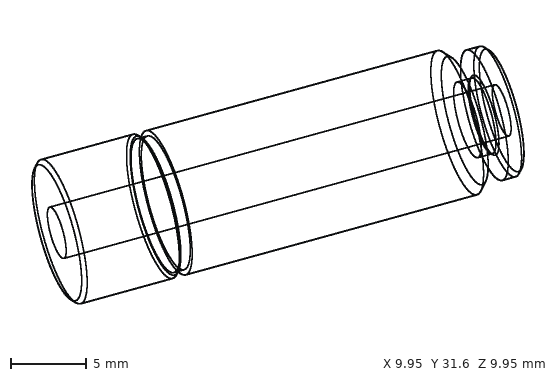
import cadquery as cq

length = 31.6
body_diameter = 9.95
bore_diameter = 3.55
front_chamfer = 0.3

groove_start = 7.0
groove_end = 7.75
groove_diameter = 9.23
groove_chamfer = 0.2

shoulder_start = 28.45
taper_end = 28.98
body_end = 29.17
taper_diameter = 8.85

neck_diameter = 5.2
neck_flare = 0.15
collar_diameter = 9.0
collar_thickness = 1.23
collar_chamfer = 0.3


def radius(diameter):
    return diameter / 2


collar_start = length - collar_thickness

half_section = [
    (radius(bore_diameter), 0),
    (radius(body_diameter) - front_chamfer, 0),
    (radius(body_diameter), front_chamfer),
    (radius(body_diameter), groove_start - groove_chamfer),
    (radius(body_diameter) - groove_chamfer, groove_start),
    (radius(groove_diameter), groove_start),
    (radius(groove_diameter), groove_end),
    (radius(body_diameter), groove_end),
    (radius(body_diameter), shoulder_start),
    (radius(taper_diameter), taper_end),
    (radius(neck_diameter), body_end),
    (radius(neck_diameter), collar_start - neck_flare),
    (radius(neck_diameter) + neck_flare, collar_start),
    (radius(collar_diameter), collar_start),
    (radius(collar_diameter), length - collar_chamfer),
    (radius(collar_diameter) - collar_chamfer, length),
    (radius(bore_diameter), length),
]

result = (
    cq.Workplane("XY")
    .polyline(half_section)
    .close()
    .revolve(360, (0, 0), (0, 1))
)